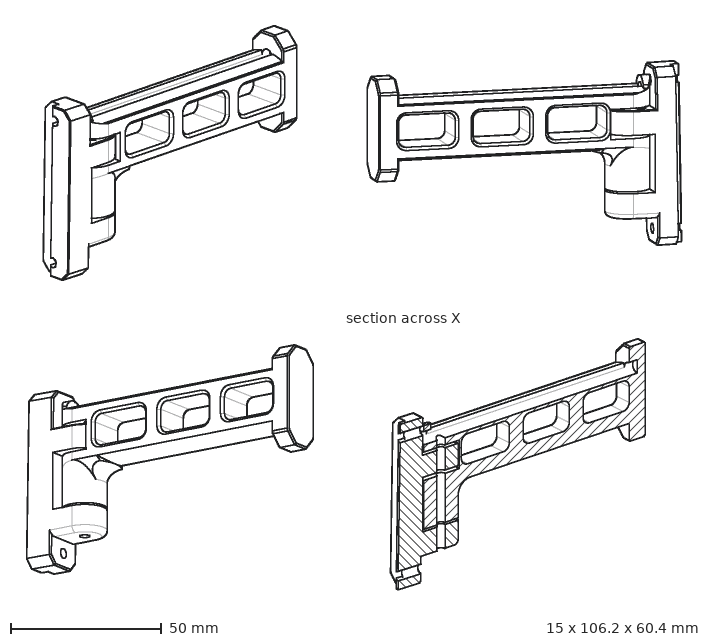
import cadquery as cq
import math

width = 15.0
half_width = width / 2
edge_break = 0.5
fine_break = 0.3
pin_hole_diameter = 3.3
through = 212.4

rear_face_y = 87.6
beam_side_half_height = 9.0
beam_crown_half_height = 10.7

end_plate_thickness = 7.0
end_plate_height = 34.5
end_plate_corner = 4.2
end_plate_front_y = rear_face_y - end_plate_thickness

window_count = 3
window_pitch = 25.7
front_window_rear_y = 29.2
front_window_length = 20.4
window_length = 19.5
window_height = 10.8
window_corner_radius = 2.5
window_chamfer = 1.0

groove_radius = 2.3
groove_axis_z = 9.1
groove_mouth_half_width = 2.8
groove_end_depth = 3.5
loop_radius = 4.7
loop_rear_y = -4.4
loop_flare_top_z = 11.2
loop_flare_half_width = 5.4
loop_flare_rise = 0.7
loop_flare_sag = 0.2

slot_top_z = 4.0
slot_floor_z = -6.2
slot_radius = 7.8
slot_stop_y = 5.6
barrel_bottom_z = -24.1
gusset_radius = 5.0
gusset_tip_half_width = 3.3
detent_side = 2.2
detent_offset = 3.7
detent_height = 0.8

upper_lug_top_z = 3.2
upper_lug_bottom_z = -5.1
lower_lug_top_z = -24.7
lower_lug_bottom_z = -33.6
lower_lug_fillet = 1.9
mount_tilt = 1.0
mount_height = 60.1
mount_thickness = 9.9
mount_back_y = -8.2
mount_backing_y = -7.6
mount_mid_z = -13.1
mount_corner = 3.0
rail_step_depth = 3.0
rail_step_x = -1.2
mount_hole_spacing = 50.0


def box(x_range, y_range, z_range):
    """Box between the given limits along X, Y and Z."""
    sizes = [high - low for low, high in (x_range, y_range, z_range)]
    corner = (x_range[0], y_range[0], z_range[0])
    return cq.Workplane("XY").box(*sizes, centered=False).translate(corner)


def upright_cylinder(radius, z_low, z_high):
    """Cylinder about the hinge axis."""
    return cq.Workplane("XY", origin=(0, 0, z_low)).circle(radius).extrude(z_high - z_low)


def along_y(y_start):
    """Workplane in X and Z; a negative extrusion runs toward +Y."""
    return cq.Workplane(cq.Plane((0, y_start, 0), xDir=(1, 0, 0), normal=(0, -1, 0)))


def make_beam():
    """Beam with a crowned top and underside and a front end rounded about the hinge axis."""
    beam = (
        along_y(-half_width)
        .moveTo(-half_width, -beam_side_half_height)
        .threePointArc((0, -beam_crown_half_height), (half_width, -beam_side_half_height))
        .lineTo(half_width, beam_side_half_height)
        .threePointArc((0, beam_crown_half_height), (-half_width, beam_side_half_height))
        .close()
        .extrude(-(end_plate_front_y + half_width + edge_break))
    )
    top_corners = cq.selectors.BoxSelector(
        (-through, -through, beam_side_half_height - fine_break),
        (through, through, beam_side_half_height + fine_break),
    )
    beam = beam.edges("|Y").edges(top_corners).chamfer(fine_break)
    rounded_end = upright_cylinder(half_width, -beam_crown_half_height, beam_crown_half_height)
    straight_part = box(
        (-half_width, half_width),
        (0, rear_face_y),
        (-beam_crown_half_height, beam_crown_half_height),
    )
    return beam.intersect(straight_part.union(rounded_end))


def make_end_plate():
    """Octagonal plate at the rear of the arm with broken edges."""
    plate = box(
        (-half_width, half_width),
        (end_plate_front_y, rear_face_y),
        (-end_plate_height / 2, end_plate_height / 2),
    )
    plate = plate.edges("|Y").chamfer(end_plate_corner)
    return plate.faces("<X or >X or <Y or >Y").edges().chamfer(edge_break)


def make_windows():
    """Rounded windows with a chamfered rim on both sides; the one nearest the hinge is longer."""
    windows = cq.Workplane("XY")
    for index in range(window_count):
        rear_y = front_window_rear_y + index * window_pitch
        length = front_window_length if index == 0 else window_length
        opening = box(
            (-half_width, half_width),
            (rear_y - length, rear_y),
            (-window_height / 2, window_height / 2),
        )
        opening = opening.edges("|X").fillet(window_corner_radius)
        windows = windows.add(opening)
        for side in (-1, 1):
            rim = (
                opening.faces(">X" if side > 0 else "<X")
                .wires()
                .toPending()
                .workplane()
                .offset2D(window_chamfer)
                .extrude(-window_chamfer, taper=45, combine=False)
            )
            windows = windows.add(rim)
    return windows.combine()


def make_groove():
    """Round-bottomed groove with flared walls, running from the loop into the end plate."""
    tunnel = along_y(-half_width).center(0, groove_axis_z).circle(groove_radius)
    tunnel = tunnel.extrude(-(end_plate_front_y + groove_end_depth + half_width))
    groove = (
        along_y(loop_rear_y)
        .moveTo(-groove_radius, groove_axis_z)
        .threePointArc((0, groove_axis_z - groove_radius), (groove_radius, groove_axis_z))
        .lineTo(groove_mouth_half_width, beam_crown_half_height)
        .lineTo(-groove_mouth_half_width, beam_crown_half_height)
        .close()
        .extrude(-(end_plate_front_y - loop_rear_y))
    )
    return tunnel.union(groove)


def make_loop():
    """Arched loop over the groove at the front tip of the arm, flared at its foot."""
    foot_half_width = math.sqrt(loop_radius**2 - (loop_flare_top_z - groove_axis_z) ** 2)
    flare_end_z = beam_side_half_height + loop_flare_rise
    middle = (
        (foot_half_width + loop_flare_half_width) / 2 - loop_flare_sag,
        (loop_flare_top_z + flare_end_z) / 2 - loop_flare_sag,
    )
    loop = (
        along_y(-half_width)
        .moveTo(-foot_half_width, loop_flare_top_z)
        .threePointArc((0, groove_axis_z + loop_radius), (foot_half_width, loop_flare_top_z))
        .threePointArc(middle, (loop_flare_half_width, flare_end_z))
        .lineTo(loop_flare_half_width, beam_side_half_height)
        .lineTo(-loop_flare_half_width, beam_side_half_height)
        .lineTo(-loop_flare_half_width, flare_end_z)
        .threePointArc((-middle[0], middle[1]), (-foot_half_width, loop_flare_top_z))
        .close()
        .extrude(-(half_width + loop_rear_y))
    )
    return loop.intersect(upright_cylinder(half_width, 0, through))


def make_slot():
    """Slot for the upper lug; a stop with a concave face remains on the +X side."""
    z_range = (slot_floor_z, slot_top_z)
    open_side = box((-half_width, 0), (-half_width, slot_radius), z_range)
    stop_side = box((0, half_width), (-half_width, slot_stop_y), z_range)
    swing = upright_cylinder(slot_radius, *z_range)
    return open_side.union(stop_side).union(swing)


def make_gusset():
    """Concave flare between the barrel and the underside of the beam, narrowing downward."""
    top_z = -beam_crown_half_height
    low_z = top_z - gusset_radius
    outer = half_width + gusset_radius
    bend = gusset_radius * (1 - math.sqrt(0.5))
    flare = (
        cq.Workplane("XZ")
        .lineTo(0, low_z)
        .lineTo(half_width, low_z)
        .threePointArc((half_width + bend, top_z - bend), (outer, top_z))
        .lineTo(outer, 0)
        .close()
        .revolve(360, (0, 0, 0), (0, 1, 0))
    )
    tapered = (
        along_y(0)
        .moveTo(-half_width, -beam_side_half_height)
        .lineTo(-gusset_tip_half_width, low_z)
        .lineTo(gusset_tip_half_width, low_z)
        .lineTo(half_width, -beam_side_half_height)
        .close()
        .extrude(-outer)
    )
    return flare.intersect(tapered)


def make_detents():
    """Four square detent pegs, turned by 45 degrees, under the fork."""
    return (
        cq.Workplane("XY", origin=(0, 0, slot_top_z - detent_height))
        .rect(2 * detent_offset, 2 * detent_offset, forConstruction=True)
        .vertices()
        .polygon(4, detent_side * math.sqrt(2))
        .extrude(detent_height)
    )


def make_arm():
    """Arm with its end plate, windows, cord groove and hinge barrel."""
    arm = make_beam().union(make_end_plate())
    arm = arm.union(make_loop())
    arm = arm.union(upright_cylinder(half_width, barrel_bottom_z, 0))
    arm = arm.union(make_gusset())
    arm = arm.cut(make_windows())
    arm = arm.cut(make_groove())
    arm = arm.cut(make_slot())
    arm = arm.union(make_detents())
    return arm.cut(upright_cylinder(pin_hole_diameter / 2, -through, through))


def make_mount_plate():
    """Tilted mounting plate with a raised rail face and two screw holes."""
    plate = box(
        (-half_width, half_width),
        (-mount_thickness, 0),
        (-mount_height / 2, mount_height / 2),
    )
    plate = plate.edges("|Y").chamfer(mount_corner)
    plate = plate.faces(">Y").edges().chamfer(edge_break)
    step = box(
        (-half_width, rail_step_x),
        (-mount_thickness, rail_step_depth - mount_thickness),
        (-mount_height / 2, mount_height / 2),
    )
    plate = plate.cut(step)
    plate = plate.faces("<Y").edges().chamfer(fine_break)
    holes = (
        along_y(-mount_thickness)
        .rarray(1.1, mount_hole_spacing, 1, 2)
        .circle(pin_hole_diameter / 2)
        .extrude(-mount_thickness)
    )
    plate = plate.cut(holes)
    plate = plate.rotate((0, 0, 0), (1, 0, 0), -mount_tilt)
    return plate.translate((0, mount_back_y, mount_mid_z))


def make_backing():
    """Upright face of the mounting plate behind the barrel, between the two lugs."""
    root_y = mount_back_y - mount_thickness / 4
    return box(
        (-half_width, half_width),
        (root_y, mount_backing_y),
        (lower_lug_top_z, upper_lug_bottom_z),
    )


def make_lug(z_low, z_high):
    """Lug rounded about the hinge axis and reaching into the mounting plate."""
    root_y = mount_back_y - mount_thickness / 4
    block = box((-half_width, half_width), (root_y, 0), (z_low, z_high))
    return block.union(upright_cylinder(half_width, z_low, z_high))


def make_bracket():
    """Mounting plate with its two hinge lugs."""
    upper_lug = make_lug(upper_lug_bottom_z, upper_lug_top_z)
    upper_lug = upper_lug.faces(">Z").edges("not <Y").chamfer(fine_break)
    lower_lug = make_lug(lower_lug_bottom_z, lower_lug_top_z)
    lower_lug = lower_lug.faces("<Z").edges("not <Y").fillet(lower_lug_fillet)
    bracket = make_mount_plate().union(make_backing()).union(upper_lug).union(lower_lug)
    return bracket.cut(upright_cylinder(pin_hole_diameter / 2, -through, through))


arm = make_arm()
bracket = make_bracket()

result = cq.Compound.makeCompound([*arm.solids().vals(), *bracket.solids().vals()])